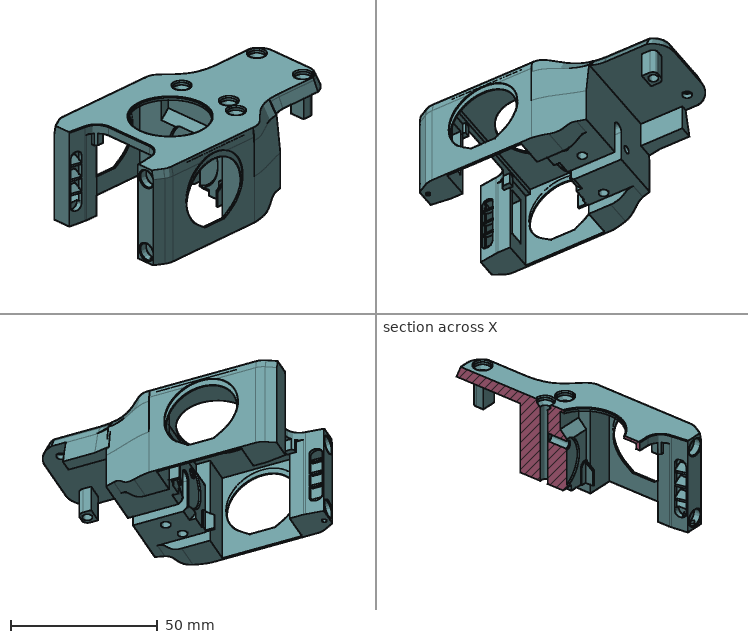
import cadquery as cq
import math

HEIGHT = 36.49
LENGTH = 92.83
HALF_WIDTH = 26.5
EDGE_DROP = 3.3
EDGE_INSET = 0.65
FRONT_HALF_WIDTH = 23.65
FRONT_CORNER_Y = 5.0
CORNER_TANGENT = 1.7
SHOULDER_Y = 46.3
REAR_Y = 64.8
REAR_HALF_WIDTH = 20.75
BLEND_Z = 18.0

SHOULDER_TOP_CURVE = [(25.5, 49.0), (21.3, 54.2), (17.1, 59.8)]
SHOULDER_MID_CURVE = [(25.9, 49.0), (22.9, 54.9), (20.2, 59.8)]
SHOULDER_LOW_CURVE = [(25.9, 49.7), (23.35, 57.2)]
SHOULDER_MID_HALF = 26.3
SWEEP_START_Y = 52.5
SWEEP_MIDDLE = (57.5, 2.0)
SWEEP_END_Y = 61.5

NECK_TOP_HALF = 14.95
NECK_TOP_END = 91.2
NECK_RIM_HALF = 17.25
NECK_RIM_Z = 31.7
NECK_ROOT_HALF = 19.0
NECK_TOP_FLARE = 0.6
NECK_STRAIGHT_Y = 69.5
NECK_CORNER_Y = 86.6
NECK_CORNER_X = 8.4
NECK_CORNER_BULGE = (0.31, 0.335)
FLARE_SAG = 0.25
NECK_EDGE_CHAMFER = 0.4
SKIRT_Z = 21.3
SKIRT_END_Y = 81.3
SKIRT_FOOT_HALF = 19.75
SKIRT_INNER_X = 15.0
POST_Y = (82.9, 88.06)
POST_WIDTH = 6.0
POST_REAR_FILLET = 2.05

CEILING_Z = 35.2
BEAM_Z = 33.0
BEAM_END_Y = 14.0
CHANNEL_HALF = 15.4
ARM_END_Y = 12.3
ARM_TAPER_Y = 6.0
ARM_FRONT_HALF = 16.35
POCKET_HALF = 25.7
PANEL_Y = 43.7
POCKET_END_LEFT = PANEL_Y
POCKET_END_RIGHT = 41.9
PANEL_BOTTOM_Z = 4.2
LEDGE_Z = 24.9
LEDGE_SIZE = 3.4
NOTCH_Y = 12.25
NOTCH_HALF = 9.8
NOTCH_ARC_START = (15.5, 6.5)
NOTCH_ARC_MIDDLE = (13.6, 10.6)
NOTCH_CHAMFER = 0.3
LIP_X = (13.4, 15.5)
LIP_Y = (9.9, 13.4)
LIP_Z = 28.4

TOP_HOLE_D = 28.4
TOP_HOLE_Y = 32.3
OPENING_CHAMFER = 0.4
SIDE_HOLE_Y = 27.0
SIDE_HOLE_Z = 20.6
SIDE_HOLE_R = 13.7
SIDE_THROAT_R = 13.2
SIDE_THROAT_Z = 18.6
SIDE_STEP = 0.4
SIDE_FLAT_Z = 7.2
SIDE_FLAT_HALF = 4.75

REAR_SCREW_X = 11.0
REAR_SCREW_Y = 85.65
FRONT_SCREW_X = 13.0
FRONT_SCREW_Y = 51.1
EXTRA_SCREW = (6.3, 54.4)
SCREW_POSITIONS = [
    (-REAR_SCREW_X, REAR_SCREW_Y),
    (REAR_SCREW_X, REAR_SCREW_Y),
    (-FRONT_SCREW_X, FRONT_SCREW_Y),
    (FRONT_SCREW_X, FRONT_SCREW_Y),
    EXTRA_SCREW,
]
SCREW_D = 3.4
HEAD_D = 6.0
HEAD_RIM_D = 7.0
HEAD_DEPTH = 1.5
CONE_DEPTH = 1.3

RECESS_R = 11.6
RECESS_FLOOR_R = 11.1
RECESS_Z = 17.1
RECESS_DEPTH = 0.5
SLOT_WIDTH = 4.2
SLOT_RIM_WIDTH = 4.8
SLOT_RIM_DEPTH = 0.4
SLOT_TOP_Z = 19.7
MOUNT_D = 2.9
MOUNT_RIM_D = 3.7
MOUNT_THROUGH = (-5.6, 11.7)
MOUNT_BLIND = (5.6, 23.0)
MOUNT_BLIND_DEPTH = 8.0
RELIEF_HALF = 7.3
RELIEF_SIZE = 2.3
RIB_X = (14.4, 15.2)
RIB_REACH = 3.7
RIB_ROOT_Z = 12.8
RIB_TIP_Z = 10.0
PAD_INNER_X = 12.4
PAD_DEPTH = 0.5
PAD_FILLET = 2.0

MAGNET_D = 6.2
MAGNET_RIM_D = 6.8
MAGNET_X = 20.4
MAGNET_HEIGHTS = (4.0, 32.1)
MAGNET_DEPTH = 3.0
EJECT_D = 1.6
EJECT_POSITION = (21.3, 2.0)
DUCT_X = (16.9, 22.5)
DUCT_Y = 1.2
DUCT_Z = (7.8, 28.3)
OUTLET_Y = (0.6, 5.2)
OUTLET_Z = (5.2, 28.0)
OUTLET_FILLET = 2.2
VANE_HEIGHTS = (11.4, 16.9, 22.4)
VANE_THICKNESS = 0.8
VANE_REACH = 4.5
VANE_RISE = 2.8

MARGIN = 1.0


def box(x_range, y_range, z_range):
    """Axis-aligned box between the given limits."""
    size = [b - a for a, b in (x_range, y_range, z_range)]
    return cq.Workplane("XY").box(*size, centered=False).translate((x_range[0], y_range[0], z_range[0]))


def cone(low_d, high_d, z_low, z_high):
    """Vertical frustum on the Z axis."""
    wire = cq.Workplane("XY", origin=(0, 0, z_low)).circle(low_d / 2)
    if low_d == high_d:
        return wire.extrude(z_high - z_low)
    return wire.workplane(offset=z_high - z_low).circle(high_d / 2).loft()


def rear_cone(low_d, high_d, position, y_start, depth):
    """Frustum that starts at y_start and runs along +Y."""
    frustum = cone(low_d, high_d, 0, depth).rotate((0, 0, 0), (1, 0, 0), -90)
    return frustum.translate((position[0], y_start, position[1]))


def ruled(lower, upper):
    """Ruled solid between two closed outlines."""
    return cq.Workplane(cq.Solid.makeLoft([lower.val(), upper.val()], True))


def mirrored(shape):
    """The shape together with its mirror image across X = 0."""
    return shape.union(shape.mirror("YZ"))


def body_outline(z, inset):
    """Front body outline with rounded, slanted front corners."""
    side = HALF_WIDTH - inset
    front = FRONT_HALF_WIDTH - inset
    angle = math.atan2(HALF_WIDTH - FRONT_HALF_WIDTH, FRONT_CORNER_Y)
    bend_x = side - CORNER_TANGENT * math.sin(angle)
    bend_y = FRONT_CORNER_Y - CORNER_TANGENT * math.cos(angle)
    side_y = FRONT_CORNER_Y + CORNER_TANGENT
    return (
        cq.Workplane("XY", origin=(0, 0, z))
        .moveTo(-front, 0)
        .lineTo(front, 0)
        .lineTo(bend_x, bend_y)
        .tangentArcPoint((side, side_y), relative=False)
        .lineTo(side, SHOULDER_Y)
        .lineTo(-side, SHOULDER_Y)
        .lineTo(-side, side_y)
        .tangentArcPoint((-bend_x, bend_y), relative=False)
        .close()
    )


def shoulder_outline(z, side_points):
    """Closed outline whose two sides are mirrored splines running front to rear."""
    left = [(-x, y) for x, y in reversed(side_points)]
    return (
        cq.Workplane("XY", origin=(0, 0, z))
        .moveTo(*side_points[0])
        .spline(side_points[1:], includeCurrent=True)
        .lineTo(*left[0])
        .spline(left[1:], includeCurrent=True)
        .close()
    )


def make_shoulder():
    """Tapered rear block whose upper flanks blend into the neck."""
    top_start = (HALF_WIDTH - EDGE_INSET, SHOULDER_Y)
    top_end = (NECK_TOP_HALF + NECK_TOP_FLARE, REAR_Y)
    top_side = [top_start, *SHOULDER_TOP_CURVE, top_end]
    mid_side = [(SHOULDER_MID_HALF, SHOULDER_Y), *SHOULDER_MID_CURVE, (NECK_ROOT_HALF, REAR_Y)]
    low_side = [(HALF_WIDTH, SHOULDER_Y), *SHOULDER_LOW_CURVE, (REAR_HALF_WIDTH, REAR_Y)]
    lower = shoulder_outline(0, low_side).extrude(BLEND_Z)
    middle = shoulder_outline(NECK_RIM_Z, mid_side)
    upper = ruled(shoulder_outline(BLEND_Z, low_side), middle)
    upper = upper.union(ruled(middle, shoulder_outline(HEIGHT, top_side)))
    sweep = (
        cq.Workplane("YZ", origin=(-HALF_WIDTH - MARGIN, 0, 0))
        .moveTo(SWEEP_START_Y, -MARGIN)
        .lineTo(SWEEP_START_Y, 0)
        .spline([SWEEP_MIDDLE, (SWEEP_END_Y, PANEL_BOTTOM_Z)], tangents=[(1, 0), (1, 0)], includeCurrent=True)
        .lineTo(REAR_Y + MARGIN, PANEL_BOTTOM_Z)
        .lineTo(REAR_Y + MARGIN, -MARGIN)
        .close()
        .extrude(2 * (HALF_WIDTH + MARGIN))
    )
    return lower.union(upper).cut(sweep)


def neck_outline(z, half, end_y, flare):
    """Neck outline: flared root, straight sides and large rounded rear corners."""
    root = half + flare
    bulge_x = NECK_CORNER_BULGE[0] * (half - NECK_CORNER_X)
    bulge_y = NECK_CORNER_BULGE[1] * (end_y - NECK_CORNER_Y)
    corner = (half - bulge_x, end_y - bulge_y)
    blend = (half + FLARE_SAG * flare, (NECK_STRAIGHT_Y + REAR_Y) / 2)
    return (
        cq.Workplane("XY", origin=(0, 0, z))
        .moveTo(-root, REAR_Y - MARGIN)
        .lineTo(root, REAR_Y - MARGIN)
        .threePointArc(blend, (half, NECK_STRAIGHT_Y))
        .lineTo(half, NECK_CORNER_Y)
        .threePointArc(corner, (NECK_CORNER_X, end_y))
        .lineTo(-NECK_CORNER_X, end_y)
        .threePointArc((-corner[0], corner[1]), (-half, NECK_CORNER_Y))
        .lineTo(-half, NECK_STRAIGHT_Y)
        .threePointArc((-blend[0], blend[1]), (-root, REAR_Y - MARGIN))
        .close()
    )


def make_neck():
    """Neck plate that flares downwards, with a narrow chamfer around the top face."""
    edge_z = HEIGHT - 2 * NECK_EDGE_CHAMFER
    root_flare = NECK_ROOT_HALF - NECK_RIM_HALF
    face_end = NECK_TOP_END - NECK_EDGE_CHAMFER
    underside = neck_outline(NECK_RIM_Z, NECK_RIM_HALF, LENGTH, root_flare)
    edge = neck_outline(edge_z, NECK_TOP_HALF + NECK_EDGE_CHAMFER, NECK_TOP_END, NECK_TOP_FLARE)
    face = neck_outline(HEIGHT, NECK_TOP_HALF, face_end, NECK_TOP_FLARE)
    plate = ruled(underside, edge)
    rim = ruled(edge, face)
    return plate.union(rim)


def make_skirt():
    """Wall hanging below the left edge of the neck."""
    def foot(z, root, half):
        return (
            cq.Workplane("XY", origin=(0, 0, z))
            .moveTo(-SKIRT_INNER_X, REAR_Y - MARGIN)
            .lineTo(-root, REAR_Y - MARGIN)
            .lineTo(-half, NECK_STRAIGHT_Y)
            .lineTo(-half, SKIRT_END_Y)
            .lineTo(-SKIRT_INNER_X, SKIRT_END_Y)
            .close()
        )
    bottom = foot(SKIRT_Z, REAR_HALF_WIDTH, SKIRT_FOOT_HALF)
    return ruled(bottom, foot(NECK_RIM_Z, NECK_ROOT_HALF, NECK_RIM_HALF))


def make_post():
    """Post around the right rear screw."""
    half = POST_WIDTH / 2
    post = box((REAR_SCREW_X - half, REAR_SCREW_X + half), POST_Y, (SKIRT_Z, NECK_RIM_Z + MARGIN))
    return post.edges("|Z and >Y").fillet(POST_REAR_FILLET)


def make_interior():
    """Fan pockets, middle channel and the space above the panel ledge."""
    below = (-MARGIN, CEILING_Z)
    left = box((-POCKET_HALF, 0), (ARM_END_Y, POCKET_END_LEFT), below)
    right = box((0, POCKET_HALF), (ARM_END_Y, POCKET_END_RIGHT), below)
    channel = (
        cq.Workplane("XY", origin=(0, 0, -MARGIN))
        .polyline([
            (-ARM_FRONT_HALF, 0), (-CHANNEL_HALF, ARM_TAPER_Y), (-CHANNEL_HALF, PANEL_Y),
            (CHANNEL_HALF, PANEL_Y), (CHANNEL_HALF, ARM_TAPER_Y), (ARM_FRONT_HALF, 0),
        ])
        .close()
        .extrude(BEAM_Z + MARGIN)
    )
    ledge_top = LEDGE_Z + LEDGE_SIZE
    above_ledge = (
        cq.Workplane("YZ", origin=(-CHANNEL_HALF, 0, 0))
        .polyline([
            (ARM_END_Y, LEDGE_Z), (PANEL_Y, LEDGE_Z), (PANEL_Y + LEDGE_SIZE, ledge_top),
            (PANEL_Y + LEDGE_SIZE, CEILING_Z), (ARM_END_Y, CEILING_Z),
        ])
        .close()
        .extrude(2 * CHANNEL_HALF)
    )
    under_panel = box((-CHANNEL_HALF, CHANNEL_HALF), (ARM_END_Y, REAR_Y + MARGIN), (-MARGIN, PANEL_BOTTOM_Z))
    return left.union(right).union(channel).union(above_ledge).union(under_panel)


def notch_outline(z, growth):
    """Outline of the front notch, grown outwards by the given amount."""
    front = ARM_FRONT_HALF + growth
    end_y = NOTCH_Y + growth
    diagonal_growth = growth * math.sqrt(0.5)
    arc_start = (NOTCH_ARC_START[0] + growth, NOTCH_ARC_START[1])
    arc_middle = (NOTCH_ARC_MIDDLE[0] + diagonal_growth, NOTCH_ARC_MIDDLE[1] + diagonal_growth)
    return (
        cq.Workplane("XY", origin=(0, 0, z))
        .moveTo(-front, 0)
        .lineTo(-arc_start[0], arc_start[1])
        .threePointArc((-arc_middle[0], arc_middle[1]), (-NOTCH_HALF, end_y))
        .lineTo(NOTCH_HALF, end_y)
        .threePointArc(arc_middle, arc_start)
        .lineTo(front, 0)
        .close()
    )


def make_plate_notch():
    notch = notch_outline(0, 0).extrude(HEIGHT)
    return notch.union(ruled(notch_outline(HEIGHT - NOTCH_CHAMFER, 0), notch_outline(HEIGHT, NOTCH_CHAMFER)))


def make_top_hole():
    hole = cone(TOP_HOLE_D, TOP_HOLE_D, CEILING_Z - MARGIN, HEIGHT)
    rim = cone(TOP_HOLE_D, TOP_HOLE_D + 2 * OPENING_CHAMFER, HEIGHT - OPENING_CHAMFER, HEIGHT)
    return hole.union(rim).translate((0, TOP_HOLE_Y, 0))


def make_side_openings():
    """Flat-bottomed opening in each side wall, stepped down to a lower inner circle."""
    drop = SIDE_HOLE_Z - SIDE_FLAT_Z
    reach = math.hypot(SIDE_FLAT_HALF, drop)
    angle = math.acos(SIDE_HOLE_R / reach) - math.atan2(drop, SIDE_FLAT_HALF)
    touch_y = SIDE_HOLE_R * math.cos(angle)
    touch_z = SIDE_HOLE_Z + SIDE_HOLE_R * math.sin(angle)
    opening = (
        cq.Workplane("YZ", origin=(0, SIDE_HOLE_Y, 0))
        .moveTo(-SIDE_FLAT_HALF, SIDE_FLAT_Z)
        .lineTo(SIDE_FLAT_HALF, SIDE_FLAT_Z)
        .lineTo(touch_y, touch_z)
        .threePointArc((0, SIDE_HOLE_Z + SIDE_HOLE_R), (-touch_y, touch_z))
        .close()
        .extrude(HALF_WIDTH + MARGIN)
    )
    recess = opening.intersect(box((HALF_WIDTH - SIDE_STEP, HALF_WIDTH + MARGIN), (0, LENGTH), (0, HEIGHT)))
    throat = (
        cq.Workplane("YZ", origin=(POCKET_HALF - MARGIN, SIDE_HOLE_Y, SIDE_THROAT_Z))
        .circle(SIDE_THROAT_R)
        .extrude(HALF_WIDTH - POCKET_HALF + MARGIN)
    )
    return mirrored(recess.union(opening.intersect(throat)))


def make_screw_holes():
    """Screw holes with a recessed, conical head seat."""
    seat_z = HEIGHT - HEAD_DEPTH
    rim_height = (HEAD_RIM_D - HEAD_D) / 2
    tool = cq.Workplane("XY").circle(SCREW_D / 2).extrude(HEIGHT)
    tool = tool.union(cone(SCREW_D, HEAD_D, seat_z - CONE_DEPTH, seat_z))
    tool = tool.union(cone(HEAD_D, HEAD_D, seat_z, HEIGHT))
    tool = tool.union(cone(HEAD_D, HEAD_RIM_D, HEIGHT - rim_height, HEIGHT))
    holes = cq.Workplane("XY")
    for x, y in SCREW_POSITIONS:
        holes = holes.add(tool.translate((x, y, 0)))
    return holes.combine()


def make_panel_cuts():
    """Round recess, open-bottomed slot, mounting holes and lower relief in the rear panel."""
    recess = rear_cone(2 * RECESS_R, 2 * RECESS_FLOOR_R, (0, RECESS_Z), PANEL_Y, RECESS_DEPTH)
    recess = recess.intersect(box((-RECESS_R, RECESS_R), (0, REAR_Y), (0, LEDGE_Z + RECESS_DEPTH)))
    depth = REAR_Y + MARGIN - PANEL_Y
    face_y = PANEL_Y + RECESS_DEPTH
    slot_center_z = SLOT_TOP_Z - SLOT_RIM_WIDTH / 2
    cuts = recess
    for width, length in ((SLOT_WIDTH, depth), (SLOT_RIM_WIDTH, RECESS_DEPTH + SLOT_RIM_DEPTH)):
        cuts = cuts.union(rear_cone(width, width, (0, slot_center_z), PANEL_Y, length))
        cuts = cuts.union(box((-width / 2, width / 2), (PANEL_Y, PANEL_Y + length), (0, slot_center_z)))
    for position, length in ((MOUNT_THROUGH, depth), (MOUNT_BLIND, MOUNT_BLIND_DEPTH)):
        cuts = cuts.union(rear_cone(MOUNT_D, MOUNT_D, position, face_y, length))
        cuts = cuts.union(rear_cone(MOUNT_RIM_D, MOUNT_D, position, face_y, (MOUNT_RIM_D - MOUNT_D) / 2))
    relief = (
        cq.Workplane("YZ", origin=(-RELIEF_HALF, 0, 0))
        .polyline([
            (PANEL_Y, PANEL_BOTTOM_Z), (PANEL_Y, PANEL_BOTTOM_Z + RELIEF_SIZE),
            (PANEL_Y + RELIEF_SIZE, PANEL_BOTTOM_Z),
        ])
        .close()
        .extrude(2 * RELIEF_HALF)
    )
    return cuts.union(relief)


def make_panel_ribs():
    """Sloped rib on a shallow rounded pad at each lower corner of the panel."""
    root_y = PANEL_Y + MARGIN
    tip_y = PANEL_Y - RIB_REACH
    rib = (
        cq.Workplane("YZ", origin=(RIB_X[0], 0, 0))
        .polyline([
            (root_y, PANEL_BOTTOM_Z), (tip_y, PANEL_BOTTOM_Z), (tip_y, RIB_TIP_Z),
            (PANEL_Y, RIB_ROOT_Z), (root_y, RIB_ROOT_Z),
        ])
        .close()
        .extrude(RIB_X[1] - RIB_X[0])
    )
    pad = box((PAD_INNER_X, RIB_X[1]), (PANEL_Y - PAD_DEPTH, root_y), (PANEL_BOTTOM_Z, RIB_ROOT_Z))
    pad = pad.edges("|Y and >Z and <X").fillet(PAD_FILLET)
    return mirrored(rib.union(pad))


def make_magnet_holes():
    """Two chamfered blind holes in the right arm's front, the lower one open to the underside."""
    holes = cq.Workplane("XY").center(*EJECT_POSITION).circle(EJECT_D / 2).extrude(MAGNET_HEIGHTS[0])
    rim_depth = (MAGNET_RIM_D - MAGNET_D) / 2
    for z in MAGNET_HEIGHTS:
        holes = holes.union(rear_cone(MAGNET_D, MAGNET_D, (MAGNET_X, z), 0, MAGNET_DEPTH))
        holes = holes.union(rear_cone(MAGNET_RIM_D, MAGNET_D, (MAGNET_X, z), 0, rim_depth))
    return holes


def make_ducts():
    """Air duct in each arm with a vaned outlet in the inner face."""
    duct = box(DUCT_X, (DUCT_Y, ARM_END_Y + MARGIN), DUCT_Z)
    outlet = box((CHANNEL_HALF - MARGIN, DUCT_X[0] + MARGIN), OUTLET_Y, OUTLET_Z)
    outlet = outlet.edges("|X").fillet(OUTLET_FILLET)
    passage = duct.union(outlet)
    start_x = CHANNEL_HALF - MARGIN
    for z in VANE_HEIGHTS:
        vane = (
            cq.Workplane("XZ", origin=(0, OUTLET_Y[1], 0))
            .polyline([
                (start_x, z - VANE_THICKNESS), (start_x, z),
                (start_x + VANE_REACH, z + VANE_RISE), (start_x + VANE_REACH, z + VANE_RISE - VANE_THICKNESS),
            ])
            .close()
            .extrude(OUTLET_Y[1] - OUTLET_Y[0])
        )
        passage = passage.cut(vane)
    return mirrored(passage)


band_z = HEIGHT - EDGE_DROP
body = body_outline(0, 0).extrude(band_z)
body = body.union(ruled(body_outline(band_z, 0), body_outline(HEIGHT, EDGE_INSET)))
body = body.union(make_shoulder()).union(make_neck()).union(make_skirt()).union(make_post())

body = body.cut(make_interior())
body = body.union(box((-POCKET_HALF, POCKET_HALF), (ARM_END_Y, BEAM_END_Y), (BEAM_Z, CEILING_Z)))
body = body.union(make_panel_ribs())
body = body.union(mirrored(box(LIP_X, LIP_Y, (LIP_Z, BEAM_Z))))
body = body.cut(make_plate_notch())
body = body.cut(make_top_hole())
body = body.cut(make_side_openings())
body = body.cut(make_panel_cuts())
body = body.cut(make_magnet_holes())
body = body.cut(make_ducts())
result = body.cut(make_screw_holes())